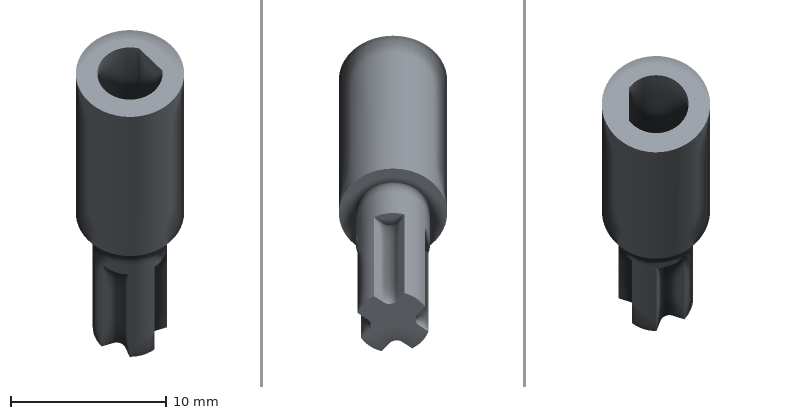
import cadquery as cq

total_length = 27.3
body_diameter = 7.0
body_length = 15.0
shank_diameter = 4.8
shank_length = total_length - body_length

spline_length = 8.87
spline_rib_width = 1.7
notch_root_radius = 0.6

socket_diameter = 4.2
socket_depth = 12.0
socket_flat_distance = 1.75
socket_flat_tilt = 20.0


def make_spline_notch():
    """Square corner notch with a rounded root, in the +X +Y quadrant."""
    size = shank_diameter
    return (
        cq.Workplane("XY")
        .box(size, size, spline_length, centered=False)
        .edges("|Z and <X and <Y")
        .fillet(notch_root_radius)
        .translate((spline_rib_width / 2, spline_rib_width / 2, 0))
    )


def make_socket():
    """Cylinder trimmed by one flat, reaching down from the top face."""
    radius = socket_diameter / 2
    trim_block = (
        cq.Workplane("XY")
        .box(socket_diameter, socket_flat_distance + radius, socket_depth, centered=(True, False, False))
        .translate((0, -radius, 0))
        .rotate((0, 0, 0), (0, 0, 1), socket_flat_tilt)
    )
    socket = cq.Workplane("XY").circle(radius).extrude(socket_depth).intersect(trim_block)
    return socket.translate((0, 0, total_length - socket_depth))


shank = cq.Workplane("XY").circle(shank_diameter / 2).extrude(shank_length)
body = cq.Workplane("XY", origin=(0, 0, shank_length)).circle(body_diameter / 2).extrude(body_length)
result = shank.union(body)

notch = make_spline_notch()
for angle in (0, 90, 180, 270):
    result = result.cut(notch.rotate((0, 0, 0), (0, 0, 1), angle))

result = result.cut(make_socket())